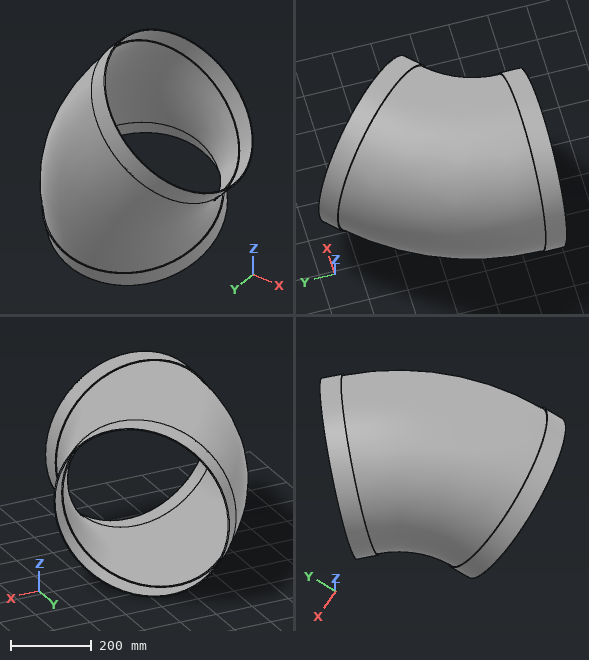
import cadquery as cq
import math

overall_depth = 571.5
bend_angle = 45.0
collar_outer_diameter = 457.0
collar_length = 53.5
elbow_outer_diameter = 450.0
elbow_wall = 3.5
spigot_length = 1.5

collar_inner_diameter = elbow_outer_diameter
elbow_inner_diameter = elbow_outer_diameter - 2 * elbow_wall

bend_sine = math.sin(math.radians(bend_angle))
bend_cosine = math.cos(math.radians(bend_angle))
tilted_collar_depth = collar_length * bend_sine + collar_outer_diameter / 2 * bend_cosine
bend_radius = (overall_depth - collar_length - tilted_collar_depth) / bend_sine


def ring_section(outer_diameter, inner_diameter):
    """Annulus on the elbow's starting face, with its normal along -Y."""
    return cq.Workplane("XZ").circle(outer_diameter / 2).circle(inner_diameter / 2)


def make_elbow():
    """Thin round duct revolved about a vertical axis, starting along +Y and turning to +X."""
    section = ring_section(elbow_outer_diameter, elbow_inner_diameter)
    return section.revolve(bend_angle, (bend_radius, 0, 0), (bend_radius, -1, 0))


def make_end():
    """Collar on the starting face, joined to the elbow by a short spigot inside it."""
    collar = ring_section(collar_outer_diameter, collar_inner_diameter).extrude(collar_length)
    spigot = ring_section(elbow_outer_diameter, elbow_inner_diameter).extrude(spigot_length)
    return collar.union(spigot)


def move_to_far_end(end):
    """Turn an end piece to face +Y, then swing it round the bend."""
    axis_bottom = (bend_radius, 0, 0)
    axis_top = (bend_radius, 0, 1)
    facing_away = end.mirror("XZ")
    return facing_away.rotate(axis_bottom, axis_top, -bend_angle)


near_end = make_end()
result = make_elbow().union(near_end).union(move_to_far_end(near_end))